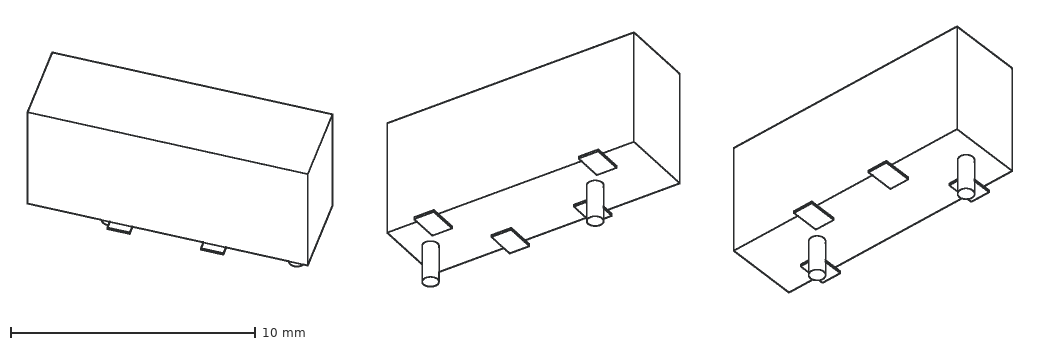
import cadquery as cq

housing_length = 12.0
housing_width = 3.5
housing_height = 5.5

pin_diameter = 0.7
pin_length = 1.8
pin_x_positions = (-3.0, 5.0)

tab_width = 0.96
tab_length = 1.39
tab_thickness = 0.1
overall_width = 4.16
front_tab_offset = 2.0
back_tab_offset = 4.0
tab_center_y = (overall_width - tab_length) / 2


def make_housing():
    return cq.Workplane("XY").box(
        housing_length, housing_width, housing_height, centered=(True, True, False)
    )


def make_pin(x):
    """Pin hanging from the housing underside at the given X."""
    return cq.Workplane("XY").center(x, 0).circle(pin_diameter / 2).extrude(-pin_length)


def make_tab(x, y):
    """Tab lying against the housing underside, centred at the given X and Y."""
    return cq.Workplane("XY").center(x, y).rect(tab_width, tab_length).extrude(-tab_thickness)


housing = make_housing()
pins = [make_pin(x) for x in pin_x_positions]

tabs = []
for side, offset in ((-1, front_tab_offset), (1, back_tab_offset)):
    for x in (-offset, offset):
        tabs.append(make_tab(x, side * tab_center_y))

result = cq.Compound.makeCompound(
    [housing.val()] + [pin.val() for pin in pins] + [tab.val() for tab in tabs]
)